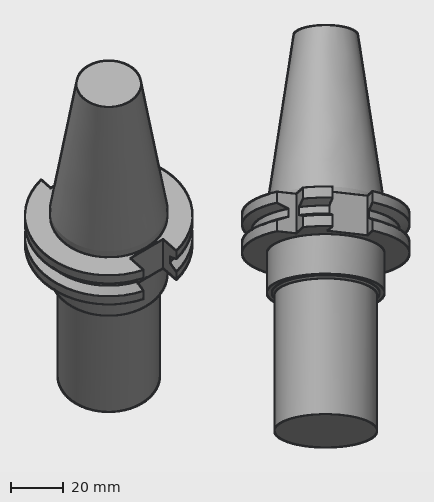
import cadquery as cq

total_height = 158.4
taper_height = 68.3
neck_height = 3.2
flange_height = 15.8
collar_height = 15.8
flange_top = total_height - taper_height - neck_height
flange_bottom = flange_top - flange_height
collar_bottom = flange_bottom - collar_height

taper_tip_diameter = 24.5
gauge_diameter = 44.5
flange_diameter = 63.5
collar_diameter = 44.7
shank_diameter = 39.0
shank_shoulder_bevel = 1.0

groove_floor_diameter = 56.0
rim_height = 4.5
groove_bevel_height = 1.9

slot_width = 16.0
left_slot_floor = 25.0
right_slot_floor = 22.8
notch_wall = 18.2


def turned_body():
    """Shank, collar, grooved flange and taper as one revolved profile."""
    shank_radius = shank_diameter / 2
    collar_radius = collar_diameter / 2
    flange_radius = flange_diameter / 2
    groove_radius = groove_floor_diameter / 2
    gauge_radius = gauge_diameter / 2
    groove_bottom = flange_bottom + rim_height
    groove_top = flange_top - rim_height
    profile = [
        (0, 0),
        (shank_radius, 0),
        (shank_radius, collar_bottom - shank_shoulder_bevel),
        (shank_radius + shank_shoulder_bevel, collar_bottom),
        (collar_radius, collar_bottom),
        (collar_radius, flange_bottom),
        (flange_radius, flange_bottom),
        (flange_radius, groove_bottom),
        (groove_radius, groove_bottom + groove_bevel_height),
        (groove_radius, groove_top - groove_bevel_height),
        (flange_radius, groove_top),
        (flange_radius, flange_top),
        (gauge_radius, flange_top),
        (gauge_radius, flange_top + neck_height),
        (taper_tip_diameter / 2, total_height),
        (0, total_height),
    ]
    return cq.Workplane("XZ").polyline(profile).close().revolve(360, (0, 0), (0, 1))


def flange_cutter(x_start, y_start, x_size, y_size):
    """Block through the flange height, placed by its lowest X and Y corner."""
    return (
        cq.Workplane("XY", origin=(x_start, y_start, flange_bottom))
        .rect(x_size, y_size, centered=False)
        .extrude(flange_height)
    )


reach = flange_diameter / 2
left_slot = flange_cutter(-left_slot_floor - reach, -slot_width / 2, reach, slot_width)
right_slot = flange_cutter(right_slot_floor, -slot_width / 2, reach, slot_width)
orientation_notch = flange_cutter(-notch_wall - reach, notch_wall, reach, reach)

result = turned_body().cut(left_slot).cut(right_slot).cut(orientation_notch)